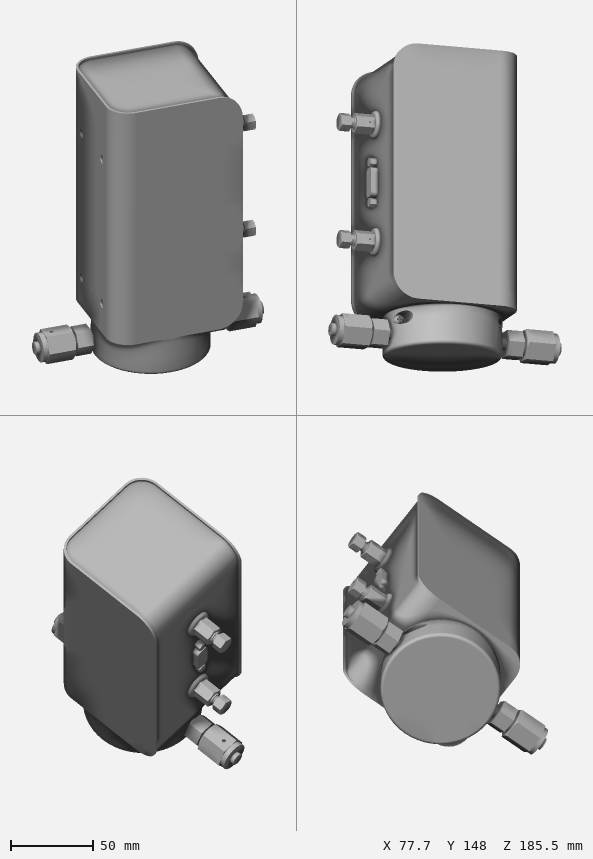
import cadquery as cq
import math

TOTAL_HEIGHT = 185.5

FLATS_TO_CORNERS = math.cos(math.pi / 6)
CORNER_CHAMFER_ANGLE = math.radians(30)
CORNER_SIDEWAYS = 0
CORNER_UP = 90

BASE_RADIUS = 36.5
BASE_HEIGHT = 25.4
BASE_AXIS_X = 0.5
BASE_ROUND = 2.0

COVER_WIDTH = 77.7
COVER_FRONT_Y = -38.2
COVER_BACK_Y = 45.5
SHEET = 1.5
BEND_RADIUS = 14.3
BACK_CORNER_RADIUS = 15.8
COVER_HEIGHT = TOTAL_HEIGHT - BASE_HEIGHT
COVER_DEPTH = COVER_BACK_Y - COVER_FRONT_Y

FIXING_SPACING_X = 35.0
FIXING_HEIGHTS = (45.6, 145.4)
COUNTERSINK_DIAMETER = 5.4
COUNTERSINK_FLOOR_DIAMETER = 3.9
VENT_HEIGHTS = (47.0, 163.7)
VENT_DIAMETER = 1.6

CHASSIS_INSET = 1.9
CHASSIS_WIDTH = COVER_WIDTH - 2 * SHEET
CHASSIS_FRONT_Y = COVER_FRONT_Y + SHEET
CHASSIS_BACK_Y = COVER_BACK_Y - CHASSIS_INSET
CHASSIS_DEPTH = CHASSIS_BACK_Y - CHASSIS_FRONT_Y
CHASSIS_HEIGHT = COVER_HEIGHT - CHASSIS_INSET

BACK_AXIS_X = -1.0
PURGE_HEIGHTS = (68.6, 142.0)
PURGE_FLANGE_DIAMETER = 17.5
PURGE_FLANGE_ROUND = 2.2
PURGE_BODY_Y = 46.0
PURGE_BODY_END_Y = 57.7
PURGE_BODY_ACROSS_CORNERS = 12.8
PURGE_SHOULDER_DIAMETER = 7.8
PURGE_SHOULDER_LENGTH = 1.0
PURGE_NECK_DIAMETER = 6.3
PURGE_NUT_Y = 60.6
PURGE_NUT_END_Y = 67.3
PURGE_NUT_ACROSS_CORNERS = 11.3
PURGE_HOLE_Y = 49.1
PURGE_HOLE_DIAMETER = 0.98

CONNECTOR_Z = 105.7
CONNECTOR_END_Y = 48.0
CONNECTOR_LENGTH = 18.2
CONNECTOR_WIDTH = 8.5
CONNECTOR_CORNER_RADIUS = 2.6
JACK_SPACING = 25.2
JACK_ACROSS_CORNERS = 5.7

FITTING_X = -4.0
FITTING_Z = 10.5
STEM_DIAMETER = 7.6
STEM_START = 32.5
BODY_START = 38.5
BODY_END = 48.5
BODY_ACROSS_CORNERS = 18.5
NECK_DIAMETER = 13.0
NUT_START = 50.0
NUT_END = 68.0
NUT_ACROSS_CORNERS = 21.7
NUT_ACROSS_FLATS = NUT_ACROSS_CORNERS * FLATS_TO_CORNERS
COLLAR_END = 71.2
COLLAR_DIAMETER = 18.4
TUBE_END = 74.0
TUBE_DIAMETER = 8.0
WITNESS_HOLE_DISTANCE = 62.7
WITNESS_HOLE_DIAMETER = 2.5

HOLE_DEPTH = 1.9

SCREW_Y = 31.5
SCREW_Z = 18.5
COUNTERBORE_DIAMETER = 8.0
COUNTERBORE_FLOOR_X = -8.2
HEAD_DIAMETER = 6.7
HEAD_HEIGHT = 3.0
HEAD_ROUND = 2.8
SHANK_DIAMETER = 3.0
SHANK_LENGTH = 7.5
RECESS_LENGTH = 3.9
RECESS_WIDTH = 1.1
RECESS_DEPTH = 1.9


def rod(diameter, x, z, start_y, end_y):
    """Cylinder along +Y."""
    return cq.Workplane(cq.Solid.makeCylinder(
        diameter / 2, end_y - start_y, cq.Vector(x, start_y, z), cq.Vector(0, 1, 0)))


def x_rod(diameter, y, z, start_x, end_x):
    """Cylinder along +X."""
    return cq.Workplane(cq.Solid.makeCylinder(
        diameter / 2, end_x - start_x, cq.Vector(start_x, y, z), cq.Vector(1, 0, 0)))


def hex_bar(across_corners, x, z, start_y, end_y, corner_angle):
    """Hexagonal bar along +Y; corner_angle turns its first corner from X toward Z."""
    angles = [math.radians(corner_angle + 60 * i) for i in range(6)]
    radius = across_corners / 2
    corners = [(x + radius * math.cos(a), z + radius * math.sin(a)) for a in angles]
    return (
        cq.Workplane("XZ", origin=(0, start_y, 0))
        .polyline(corners).close()
        .extrude(start_y - end_y)
    )


def chamfered_hex(across_corners, x, z, start_y, end_y, corner_angle, chamfered_ends):
    """Hexagonal bar whose corners are turned off at 30 degrees at the chosen ends."""
    turned_width = across_corners / 2 * (1 - FLATS_TO_CORNERS)
    turned_length = turned_width * math.tan(CORNER_CHAMFER_ANGLE)
    blank = rod(across_corners, x, z, start_y, end_y)
    for end in chamfered_ends:
        blank = blank.faces(end).chamfer(turned_length, turned_width)
    return hex_bar(across_corners, x, z, start_y, end_y, corner_angle).intersect(blank)


def make_cover():
    mid_y = (COVER_FRONT_Y + COVER_BACK_Y) / 2
    cover = (
        cq.Workplane("XY", origin=(0, mid_y, BASE_HEIGHT))
        .rect(COVER_WIDTH, COVER_DEPTH).extrude(COVER_HEIGHT)
        .edges("|Z and <Y").fillet(BEND_RADIUS)
        .edges("|X and >Y").fillet(BACK_CORNER_RADIUS)
    )
    inside = (
        cq.Workplane("XY", origin=(0, mid_y + SHEET, BASE_HEIGHT))
        .rect(CHASSIS_WIDTH, COVER_DEPTH).extrude(COVER_HEIGHT)
        .edges("|Z and <Y").fillet(BEND_RADIUS - SHEET)
    )
    cover = cover.cut(inside)
    for z in FIXING_HEIGHTS:
        for x in (-FIXING_SPACING_X / 2, FIXING_SPACING_X / 2):
            cover = cover.cut(cq.Workplane(cq.Solid.makeCone(
                COUNTERSINK_DIAMETER / 2, COUNTERSINK_FLOOR_DIAMETER / 2, SHEET,
                cq.Vector(x, COVER_FRONT_Y, z), cq.Vector(0, 1, 0))))
    for z in VENT_HEIGHTS:
        cover = cover.cut(rod(VENT_DIAMETER, 0, z, COVER_FRONT_Y, CHASSIS_FRONT_Y))
    return cover


def purge_port(z):
    """Flange, hexagonal body, neck and cap nut along +Y."""
    x = BACK_AXIS_X
    flange = rod(PURGE_FLANGE_DIAMETER, x, z, CHASSIS_BACK_Y, PURGE_BODY_Y)
    flange = flange.faces(">Y").edges().fillet(PURGE_FLANGE_ROUND)
    body = chamfered_hex(
        PURGE_BODY_ACROSS_CORNERS, x, z, PURGE_BODY_Y, PURGE_BODY_END_Y, CORNER_UP, (">Y",))
    shoulder = rod(PURGE_SHOULDER_DIAMETER, x, z, PURGE_BODY_END_Y,
                   PURGE_BODY_END_Y + PURGE_SHOULDER_LENGTH)
    neck = rod(PURGE_NECK_DIAMETER, x, z, PURGE_BODY_END_Y, PURGE_NUT_Y)
    nut = chamfered_hex(
        PURGE_NUT_ACROSS_CORNERS, x, z, PURGE_NUT_Y, PURGE_NUT_END_Y, CORNER_UP, ("<Y", ">Y"))
    flat_x = x - PURGE_BODY_ACROSS_CORNERS / 2 * FLATS_TO_CORNERS
    hole = x_rod(PURGE_HOLE_DIAMETER, PURGE_HOLE_Y, z, flat_x, flat_x + HOLE_DEPTH)
    return flange.union(body).union(shoulder).union(neck).union(nut).cut(hole)


def connector():
    """Rounded shell between two hexagonal jack posts."""
    parts = (
        cq.Workplane("XZ", origin=(BACK_AXIS_X, CHASSIS_BACK_Y, CONNECTOR_Z))
        .rect(CONNECTOR_WIDTH, CONNECTOR_LENGTH)
        .extrude(CHASSIS_BACK_Y - CONNECTOR_END_Y)
        .edges("|Y").fillet(CONNECTOR_CORNER_RADIUS)
    )
    for z in (CONNECTOR_Z - JACK_SPACING / 2, CONNECTOR_Z + JACK_SPACING / 2):
        parts = parts.union(hex_bar(
            JACK_ACROSS_CORNERS, BACK_AXIS_X, z, CHASSIS_BACK_Y, CONNECTOR_END_Y, CORNER_UP))
    return parts


def make_chassis():
    mid_y = (CHASSIS_FRONT_Y + CHASSIS_BACK_Y) / 2
    chassis = (
        cq.Workplane("XY", origin=(0, mid_y, BASE_HEIGHT))
        .rect(CHASSIS_WIDTH, CHASSIS_DEPTH).extrude(CHASSIS_HEIGHT)
        .edges("|Z and <Y").fillet(BEND_RADIUS - SHEET)
        .edges("|X and >Y").fillet(BACK_CORNER_RADIUS - CHASSIS_INSET)
    )
    for z in PURGE_HEIGHTS:
        chassis = chassis.union(purge_port(z))
    return chassis.union(connector())


def tube_fitting():
    """Stem, hexagonal body, neck, nut with collar, and tube end along +Y."""
    x = FITTING_X
    z = FITTING_Z
    fitting = rod(STEM_DIAMETER, x, z, STEM_START, BODY_START)
    fitting = fitting.union(hex_bar(BODY_ACROSS_CORNERS, x, z, BODY_START, BODY_END, CORNER_SIDEWAYS))
    fitting = fitting.union(rod(NECK_DIAMETER, x, z, BODY_END, NUT_START))
    fitting = fitting.union(chamfered_hex(
        NUT_ACROSS_CORNERS, x, z, NUT_START, NUT_END, CORNER_SIDEWAYS, ("<Y",)))
    fitting = fitting.union(rod(COLLAR_DIAMETER, x, z, NUT_END, COLLAR_END))
    fitting = fitting.union(rod(TUBE_DIAMETER, x, z, COLLAR_END, TUBE_END))
    hole = (
        cq.Workplane("XY", origin=(x, WITNESS_HOLE_DISTANCE, z + NUT_ACROSS_FLATS / 2))
        .circle(WITNESS_HOLE_DIAMETER / 2).extrude(-HOLE_DEPTH)
    )
    return fitting.cut(hole)


def make_base():
    base = (
        cq.Workplane("XY", origin=(BASE_AXIS_X, 0, 0))
        .circle(BASE_RADIUS).extrude(BASE_HEIGHT)
        .edges().fillet(BASE_ROUND)
    )
    back_fitting = tube_fitting()
    base = base.union(back_fitting).union(back_fitting.mirror("XZ"))
    for y in (-SCREW_Y, SCREW_Y):
        base = base.cut(x_rod(COUNTERBORE_DIAMETER, y, SCREW_Z, -BASE_RADIUS, COUNTERBORE_FLOOR_X))
        base = base.cut(x_rod(
            SHANK_DIAMETER, y, SCREW_Z, COUNTERBORE_FLOOR_X, COUNTERBORE_FLOOR_X + SHANK_LENGTH))
    return base


def make_screw(y):
    """Pan-head screw along +X with a cross recess in its rounded head."""
    top_x = COUNTERBORE_FLOOR_X - HEAD_HEIGHT
    head = x_rod(HEAD_DIAMETER, y, SCREW_Z, top_x, COUNTERBORE_FLOOR_X)
    head = head.faces("<X").edges().fillet(HEAD_ROUND)
    shank = x_rod(
        SHANK_DIAMETER, y, SCREW_Z, COUNTERBORE_FLOOR_X, COUNTERBORE_FLOOR_X + SHANK_LENGTH)
    screw = head.union(shank)
    for slot_y, slot_z in ((RECESS_LENGTH, RECESS_WIDTH), (RECESS_WIDTH, RECESS_LENGTH)):
        slot = cq.Workplane("YZ", origin=(top_x, y, SCREW_Z)).rect(slot_y, slot_z)
        screw = screw.cut(slot.extrude(RECESS_DEPTH))
    return screw


cover = make_cover()
chassis = make_chassis()
base = make_base()
screws = [make_screw(y) for y in (-SCREW_Y, SCREW_Y)]

result = cq.Compound.makeCompound(
    [cover.val(), chassis.val(), base.val(), *[screw.val() for screw in screws]])